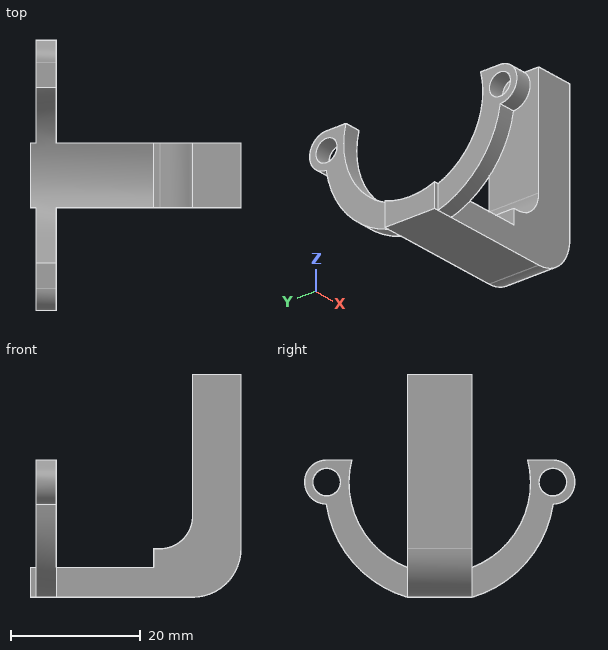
import cadquery as cq
import math

total_length = 32.5
total_height = 34.4
total_width = 41.75
arm_width = 10.0
arm_thickness = 7.5
inner_bend_radius = 5.0
trough_length = 19.05
trough_floor = 3.7
cradle_radius = 14.0
clamp_offset = 0.85
clamp_thickness = 3.17
clamp_center_z = 17.0
lug_radius = 3.42
lug_rise = 0.1
lug_hole_diameter = 4.2

cradle_center_z = trough_floor + cradle_radius
lug_y = total_width / 2 - lug_radius
lug_z = cradle_center_z + lug_rise
clamp_top = lug_z + lug_radius
upright_x = total_length - arm_thickness
clamp_outer_radius = math.hypot(arm_width / 2, clamp_center_z)


def disc(y, z, radius, start_x, length):
    """Solid cylinder along X."""
    return cq.Workplane("YZ", origin=(start_x, 0, 0)).center(y, z).circle(radius).extrude(length)


def make_arm():
    """L-shaped bar with a rounded outer corner and a filleted inner corner."""
    profile = (
        cq.Workplane("XZ")
        .lineTo(total_length, 0)
        .lineTo(total_length, total_height)
        .lineTo(upright_x, total_height)
        .lineTo(upright_x, arm_thickness)
        .lineTo(0, arm_thickness)
        .close()
    )
    arm = profile.extrude(arm_width / 2, both=True)
    arm = arm.edges(cq.selectors.NearestToPointSelector((total_length, 0, 0))).fillet(arm_thickness)
    inner_corner = cq.selectors.NearestToPointSelector((upright_x, 0, arm_thickness))
    return arm.edges(inner_corner).fillet(inner_bend_radius)


def make_clamp():
    """Open half ring, cut flat at Z = 0, with a flat-topped lug at each end."""
    ring = disc(0, clamp_center_z, clamp_outer_radius, clamp_offset, clamp_thickness)
    lower_half = cq.Workplane("XY").box(
        total_length, total_width, lug_z, centered=(False, True, False)
    )
    clamp = ring.intersect(lower_half)
    bridge = cq.Workplane("XY", origin=(clamp_offset, 0, lug_z)).box(
        clamp_thickness, 2 * lug_y, clamp_top - lug_z, centered=(False, True, False)
    )
    clamp = clamp.union(bridge)
    for side in (-1, 1):
        clamp = clamp.union(disc(side * lug_y, lug_z, lug_radius, clamp_offset, clamp_thickness))
    return clamp


result = make_arm().union(make_clamp())

result = result.cut(disc(0, cradle_center_z, cradle_radius, 0, trough_length))

for side in (-1, 1):
    result = result.cut(disc(side * lug_y, lug_z, lug_hole_diameter / 2, clamp_offset, clamp_thickness))